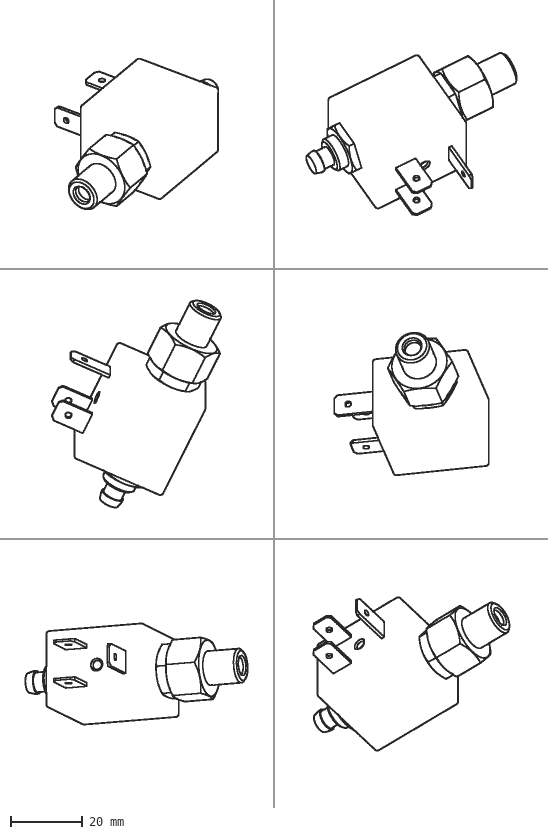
import cadquery as cq
import math


BODY_HEIGHT = 22.0
BODY_LENGTH_X = 27.5
BODY_LENGTH_Y = 29.7
BODY_FILLET = 1.0
BODY_RIGHT = BODY_HEIGHT / 2
BODY_LEFT = BODY_RIGHT - BODY_LENGTH_X
BODY_FRONT = -BODY_LENGTH_Y / 2
BODY_BACK = BODY_LENGTH_Y / 2

SMALL_HEX_FLATS = 14.0
LARGE_HEX_FLATS = 16.05
HEX_SIDES = 6
HEX_CHAMFER_ANGLE = 30.0
HEX_FACE_INSET = 0.1
BACK_HEX_THICKNESS = 2.3
FRONT_HEX_THICKNESS = 3.35
NUT_THICKNESS = 10.0

STEM_DIAMETER = 9.7
STEM_LENGTH = 9.95
STEM_CHAMFER = 0.65
STEM_BORE_DIAMETER = 4.85
STEM_BORE_MOUTH = 5.6
STEM_BORE_DEPTH = 2.1
STEM_SINK_ANGLE = 60.0

COLLAR_DIAMETER = 9.75
COLLAR_LENGTH = 3.35
COLLAR_CHAMFER = 0.6
NECK_DIAMETER = 5.6
NECK_LENGTH = 3.5
BARB_DIAMETER = 6.5
BARB_LAND = 0.7
BARB_TAPER = 1.75

SCREW_HOLE_Y = -0.8
SCREW_HOLE_DIAMETER = 2.6
SCREW_HOLE_MOUTH = 3.55
SCREW_HOLE_DEPTH = 6.45
SCREW_HOLE_SINK_ANGLE = 90.0

DRILL_POINT_ANGLE = 118.0

BLADE_WIDTH = 6.4
BLADE_THICKNESS = 1.0
BLADE_TIP_LENGTH = 1.0
BLADE_TIP_THICKNESS = 0.6
BLADE_HOLE_DIAMETER = 1.75
BLADE_HOLE_FROM_TIP = 4.1
PAIR_BLADE_LENGTH = 10.0
PAIR_BLADE_Y = 5.35
PAIR_BLADE_Z = 5.5
SINGLE_BLADE_LENGTH = 12.0
SINGLE_BLADE_Y = -9.2


def make_body():
    """Box with all its edges rounded."""
    return (
        cq.Workplane("XY")
        .box(BODY_LENGTH_X, BODY_LENGTH_Y, BODY_HEIGHT)
        .edges()
        .fillet(BODY_FILLET)
        .translate((BODY_RIGHT - BODY_LENGTH_X / 2, 0, 0))
    )


def revolve_about_y(points):
    """Turn a closed (radius, y) outline about the valve axis."""
    return cq.Workplane("XY").polyline(points).close().revolve(360, (0, 0), (0, 1))


def make_hex(flats, y_front, y_back, chamfer_front, chamfer_back):
    """Hexagonal prism along Y with flats facing +Z and -Z and turned corners."""
    corner = flats / 2 / math.cos(math.radians(180 / HEX_SIDES))
    face = flats / 2 - HEX_FACE_INSET
    drop = (corner - face) * math.tan(math.radians(HEX_CHAMFER_ANGLE))
    prism = (
        cq.Workplane("XZ", origin=(0, y_back, 0))
        .polygon(HEX_SIDES, 2 * corner)
        .extrude(y_back - y_front)
    )
    outline = [(0, y_front)]
    if chamfer_front:
        outline += [(face, y_front), (corner, y_front + drop)]
    else:
        outline += [(corner, y_front)]
    if chamfer_back:
        outline += [(corner, y_back - drop), (face, y_back)]
    else:
        outline += [(corner, y_back)]
    outline += [(0, y_back)]
    return prism.intersect(revolve_about_y(outline))


def make_inlet():
    """Hexagon, union nut and stem stacked on the -Y face of the body."""
    nut_back = BODY_FRONT - FRONT_HEX_THICKNESS
    nut_front = nut_back - NUT_THICKNESS
    stem_front = nut_front - STEM_LENGTH
    radius = STEM_DIAMETER / 2
    stem = revolve_about_y([
        (0, nut_front),
        (radius, nut_front),
        (radius, stem_front + STEM_CHAMFER),
        (radius - STEM_CHAMFER, stem_front),
        (0, stem_front),
    ])
    bore = make_drilling(STEM_BORE_DIAMETER, STEM_BORE_MOUTH, STEM_SINK_ANGLE, STEM_BORE_DEPTH)
    small_hex = make_hex(SMALL_HEX_FLATS, nut_back, BODY_FRONT, False, True)
    nut = make_hex(LARGE_HEX_FLATS, nut_front, nut_back, True, True)
    bore = bore.translate((0, stem_front, 0))
    return small_hex.union(nut).union(stem).cut(bore)


def make_outlet():
    """Hexagon, collar and hose barb stacked on the +Y face of the body."""
    hex_back = BODY_BACK + BACK_HEX_THICKNESS
    collar_back = hex_back + COLLAR_LENGTH
    neck_back = collar_back + NECK_LENGTH
    land_back = neck_back + BARB_LAND
    barb_back = land_back + BARB_TAPER
    collar = COLLAR_DIAMETER / 2
    neck = NECK_DIAMETER / 2
    barb = BARB_DIAMETER / 2
    spigot = revolve_about_y([
        (0, hex_back),
        (collar, hex_back),
        (collar, collar_back - COLLAR_CHAMFER),
        (collar - COLLAR_CHAMFER, collar_back),
        (neck, collar_back),
        (neck, neck_back),
        (barb, neck_back),
        (barb, land_back),
        (neck, barb_back),
        (0, barb_back),
    ])
    return make_hex(SMALL_HEX_FLATS, BODY_BACK, hex_back, False, True).union(spigot)


def make_drilling(diameter, mouth_diameter, sink_angle, depth):
    """Countersunk blind hole entering along +Y from the origin, with a drill point."""
    radius = diameter / 2
    mouth = mouth_diameter / 2
    sink_depth = (mouth - radius) / math.tan(math.radians(sink_angle / 2))
    point = radius / math.tan(math.radians(DRILL_POINT_ANGLE / 2))
    return revolve_about_y([
        (0, 0),
        (mouth, 0),
        (radius, sink_depth),
        (radius, depth),
        (0, depth + point),
    ])


def make_screw_hole():
    """Drilling turned to enter the -X face of the body along +X."""
    drilling = make_drilling(
        SCREW_HOLE_DIAMETER, SCREW_HOLE_MOUTH, SCREW_HOLE_SINK_ANGLE, SCREW_HOLE_DEPTH
    )
    drilling = drilling.rotate((0, 0, 0), (0, 0, 1), -90)
    return drilling.translate((BODY_LEFT, SCREW_HOLE_Y, 0))


def tapered_prism(plane, tip, half_width, tip_half_width, half_depth):
    """Strip from the body to the tip, narrowed at its end and extruded to both sides."""
    shoulder = tip + BLADE_TIP_LENGTH
    outline = [
        (BODY_LEFT, -half_width),
        (BODY_LEFT, half_width),
        (shoulder, half_width),
        (tip, tip_half_width),
        (tip, -tip_half_width),
        (shoulder, -half_width),
    ]
    return cq.Workplane(plane).polyline(outline).close().extrude(half_depth, both=True)


def make_blade(length):
    """Flat terminal reaching along -X from the body, its width along Y, centred on the axis."""
    tip = BODY_LEFT - length
    half_width = BLADE_WIDTH / 2
    half_thickness = BLADE_THICKNESS / 2
    plan = tapered_prism("XY", tip, half_width, half_width - BLADE_TIP_LENGTH, half_thickness)
    side = tapered_prism("XZ", tip, half_thickness, BLADE_TIP_THICKNESS / 2, half_width)
    hole = (
        cq.Workplane("XY")
        .center(tip + BLADE_HOLE_FROM_TIP, 0)
        .circle(BLADE_HOLE_DIAMETER / 2)
        .extrude(BLADE_THICKNESS, both=True)
    )
    return plan.intersect(side).cut(hole)


result = make_body().union(make_inlet()).union(make_outlet()).cut(make_screw_hole())

for blade_z in (-PAIR_BLADE_Z, PAIR_BLADE_Z):
    result = result.union(make_blade(PAIR_BLADE_LENGTH).translate((0, PAIR_BLADE_Y, blade_z)))

upright_blade = make_blade(SINGLE_BLADE_LENGTH).rotate((0, 0, 0), (1, 0, 0), 90)
result = result.union(upright_blade.translate((0, SINGLE_BLADE_Y, 0)))